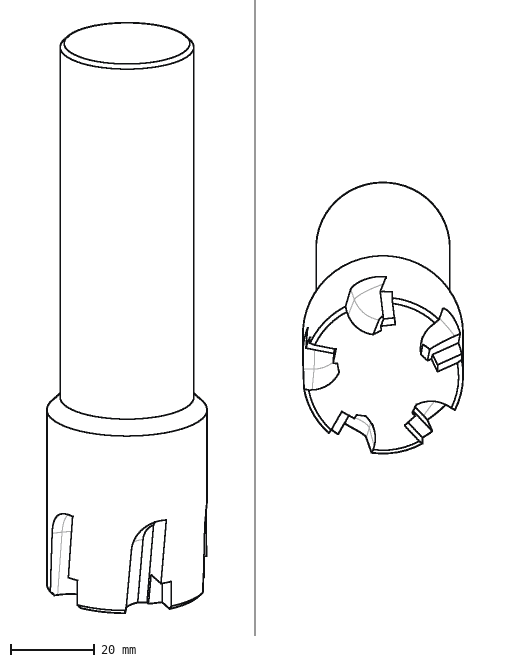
import cadquery as cq
import math

total_length = 138.4
shank_radius = 16.0
shank_chamfer = 1.0
body_radius = 19.2
body_length = 45.4
shoulder_height = body_radius - shank_radius
tip_chamfer = 1.1

flute_count = 5
first_flute_angle = 43.2
flute_tilt = 5.2
flute_radius = 7.5
flute_end_center_z = 15.8
flute_center_radius = 17.7
flare_angle = 20.0
rake_angle = -7.0
foot_angle = 62.0
wall_depth = 7.9
cut_margin = 13.8

pocket_height = 7.3
pocket_wall_y = 2.1
pocket_depth = 6.4


def make_blank():
    """Turned shape of shank, shoulder and body."""
    profile = (
        cq.Workplane("XZ")
        .lineTo(body_radius - tip_chamfer, 0)
        .lineTo(body_radius, tip_chamfer)
        .lineTo(body_radius, body_length)
        .lineTo(shank_radius, body_length + shoulder_height)
        .lineTo(shank_radius, total_length - shank_chamfer)
        .lineTo(shank_radius - shank_chamfer, total_length)
        .lineTo(0, total_length)
        .close()
    )
    return profile.revolve(360, (0, 0), (0, 1))


def make_flute():
    """Flute cutter at +X: raked wall through the rim, slot on its -Y side, rounded end at Z = 0."""
    cut_length = flute_end_center_z + cut_margin
    floor = cq.Workplane("XY").circle(flute_radius).extrude(-cut_length)
    rounded_end = cq.Workplane("XY").sphere(flute_radius)

    flare = math.radians(flare_angle)
    opening_plane = cq.Plane(
        origin=(0, 0, 0),
        xDir=(math.sin(flare), math.cos(flare), 0),
        normal=(math.cos(flare), -math.sin(flare), 0),
    )
    opening = (
        cq.Workplane(opening_plane)
        .moveTo(-flute_radius, -cut_length)
        .lineTo(-flute_radius, 0)
        .threePointArc((0, flute_radius), (flute_radius, 0))
        .lineTo(flute_radius, -cut_length)
        .close()
        .extrude(cut_margin)
    )

    block_size = 4 * cut_length
    slot_side = cq.Workplane("XY").box(block_size, block_size, block_size, centered=(True, False, True))
    slot_side = slot_side.translate((flute_center_radius, -block_size, 0))
    rim = (body_radius, 0, 0)
    slot_side = slot_side.rotate(rim, (body_radius, 0, 1), rake_angle)
    slot = floor.union(rounded_end).union(opening).translate((flute_center_radius, 0, 0))

    foot = (body_radius - wall_depth, -wall_depth * math.tan(math.radians(rake_angle)), 0)
    foot_end = (foot[0], foot[1], 1)
    foot_side = slot_side.rotate(rim, (body_radius, 0, 1), -rake_angle)
    foot_side = foot_side.translate((-wall_depth, foot[1], 0)).rotate(foot, foot_end, foot_angle)
    return slot.intersect(slot_side).intersect(foot_side)


def make_pocket():
    """Upright insert pocket at +X, its wall raked like the flute wall."""
    pocket_width = flute_radius
    wall_at_rim = math.sqrt(body_radius**2 - pocket_wall_y**2)
    pocket = cq.Workplane("XY").box(
        pocket_depth + cut_margin,
        pocket_width,
        pocket_height + cut_margin,
        centered=False,
    )
    pocket = pocket.translate((-pocket_depth, -pocket_width, -cut_margin))
    pocket = pocket.rotate((0, 0, 0), (0, 0, 1), rake_angle)
    return pocket.translate((wall_at_rim, pocket_wall_y, 0))


flute = make_flute().rotate((0, 0, 0), (1, 0, 0), -flute_tilt)
tooth_gap = flute.translate((0, 0, flute_end_center_z)).union(make_pocket())

result = make_blank()
for index in range(flute_count):
    angle = first_flute_angle + index * 360 / flute_count
    result = result.cut(tooth_gap.rotate((0, 0, 0), (0, 0, 1), angle))